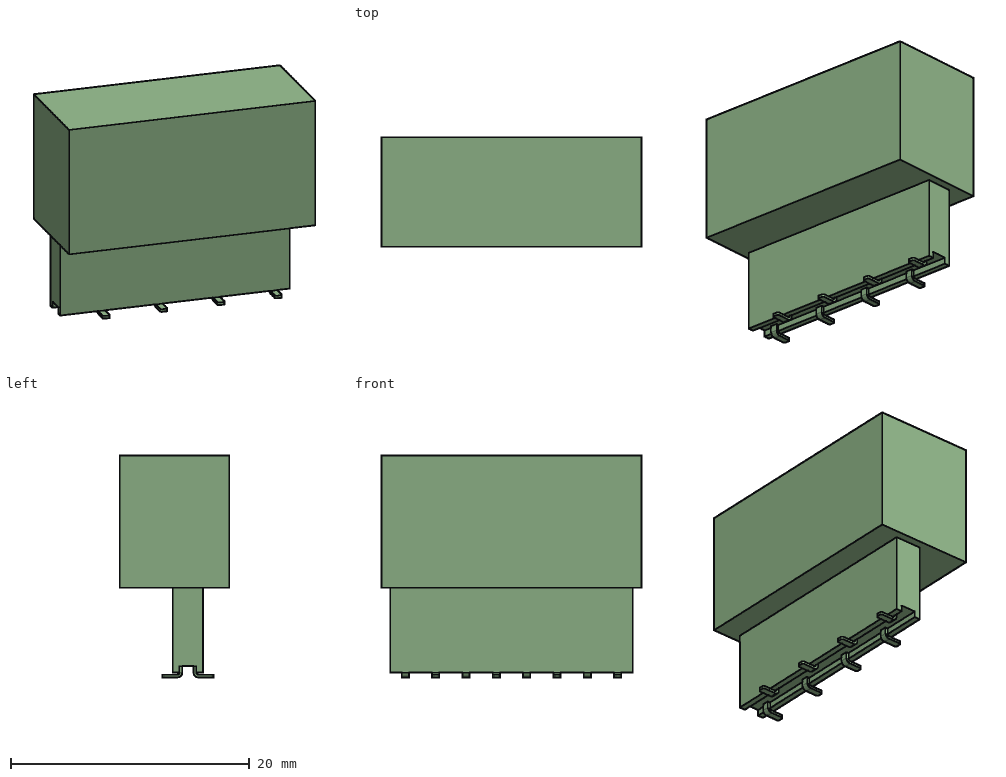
import cadquery as cq

cover_length = 21.8
cover_depth = 9.2
cover_height = 11.1
cover_offset_y = 1.12

lead_pitch = 2.54
lead_count = 8
base_length = lead_count * lead_pitch
base_depth = 2.54
base_height = 7.1
base_standoff = 0.4
slot_width = 1.44
slot_depth = 0.56

lead_width = 0.62
lead_thickness = 0.25
lead_span = 4.3
bend_inner_radius = 0.15
bend_outer_radius = bend_inner_radius + lead_thickness
tip_corner_radius = 0.15

base_top = base_standoff + base_height
slot_top = base_standoff + slot_depth


def make_cover():
    return (
        cq.Workplane("XY", origin=(0, cover_offset_y, base_top))
        .box(cover_length, cover_depth, cover_height, centered=(True, True, False))
    )


def make_base():
    slab = (
        cq.Workplane("XY", origin=(0, 0, base_standoff))
        .box(base_length, base_depth, base_height, centered=(True, True, False))
    )
    slot = (
        cq.Workplane("XY", origin=(0, 0, base_standoff))
        .box(base_length, slot_width, slot_depth, centered=(True, True, False))
    )
    return slab.cut(slot)


def make_lead(x, side):
    """Lead centred at x, its foot pointing to +Y (side = 1) or -Y (side = -1)."""
    wall_y = slot_width / 2
    inner_y = wall_y - lead_thickness
    tip_y = lead_span / 2
    bend_y = inner_y + bend_outer_radius
    profile = (
        cq.Workplane("YZ", origin=(x, 0, 0))
        .moveTo(side * wall_y, slot_top)
        .lineTo(side * inner_y, slot_top)
        .lineTo(side * inner_y, bend_outer_radius)
        .radiusArc((side * bend_y, 0), -side * bend_outer_radius)
        .lineTo(side * tip_y, 0)
        .lineTo(side * tip_y, lead_thickness)
        .lineTo(side * bend_y, lead_thickness)
        .radiusArc((side * wall_y, bend_outer_radius), side * bend_inner_radius)
        .close()
    )
    strip = profile.extrude(lead_width / 2, both=True)
    tip_face = ">Y" if side > 0 else "<Y"
    return strip.faces(tip_face).edges("|Z").fillet(tip_corner_radius)


cover = make_cover()
base = make_base()

leads = []
for index in range(lead_count):
    lead_x = (index - (lead_count - 1) / 2) * lead_pitch
    foot_side = 1 if index % 2 == 0 else -1
    leads.append(make_lead(lead_x, foot_side).val())

result = cq.Compound.makeCompound([cover.val(), base.val(), *leads])